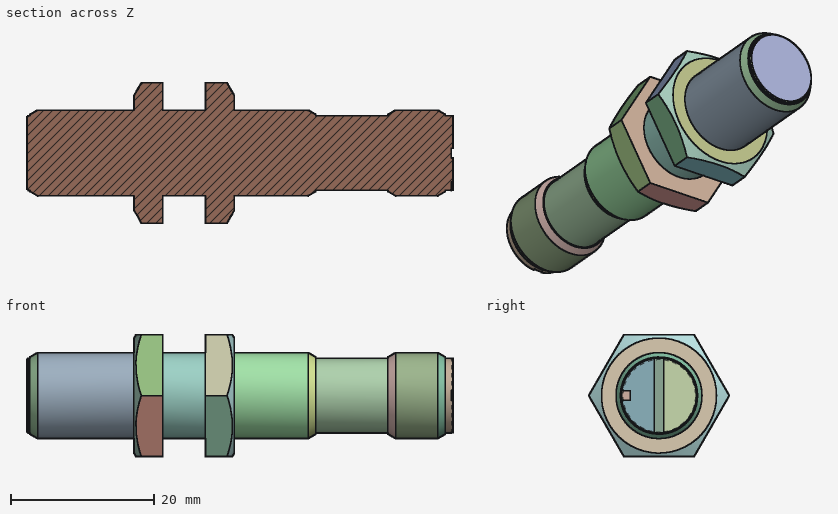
import cadquery as cq
import math

length = 59.5
body_radius = 6.0
neck_radius = 5.25
bevel_length = 1.1
bevel_angle = 30.0
bevel_drop = bevel_length * math.tan(math.radians(bevel_angle))

face_collar = 0.4
face_edge_chamfer = 0.2

neck_start = 40.35
collar_start = 50.4
tip_length = 1.1
collar_end = length - tip_length

notch_width = 1.3
notch_depth = 0.25
rim_notch_reach = 1.2

nut_across_flats = 17.0
nut_thickness = 4.05
nut_gap = 5.95
first_nut_start = 14.95
nut_face_radius = 8.05
nut_bevel_angle = 30.0


def disc(start, thickness, radius):
    return cq.Workplane("YZ", origin=(start, 0, 0)).circle(radius).extrude(thickness)


def bevelled_barrel(start, end, bevel_start):
    """Full-diameter barrel, bevelled at its far end and optionally at its near end."""
    barrel = disc(start, end - start, body_radius)
    barrel = barrel.faces(">X").chamfer(bevel_length, bevel_drop)
    if bevel_start:
        barrel = barrel.faces("<X").chamfer(bevel_length, bevel_drop)
    return barrel


def make_body():
    face = disc(0, face_collar, neck_radius).faces("<X").chamfer(face_edge_chamfer)
    main = bevelled_barrel(face_collar, neck_start, True)
    neck = disc(neck_start, collar_start - neck_start, neck_radius)
    collar = bevelled_barrel(collar_start, collar_end, True)
    tip = disc(collar_end, tip_length, neck_radius)
    return face.union(main).union(neck).union(collar).union(tip)


def make_nut(start, bevel_at_start):
    """Hexagon with flats facing +Z and -Z, trimmed by a cone on one side."""
    corner_radius = nut_across_flats / math.sqrt(3)
    bevel = (corner_radius - nut_face_radius) * math.tan(math.radians(nut_bevel_angle))
    nut = cq.Workplane("YZ", origin=(start, 0, 0)).polygon(6, 2 * corner_radius).extrude(nut_thickness)
    envelope = disc(start, nut_thickness, corner_radius)
    bevelled_side = "<X" if bevel_at_start else ">X"
    envelope = envelope.faces(bevelled_side).chamfer(bevel, corner_radius - nut_face_radius)
    return nut.intersect(envelope)


def cut_tip_notches(part):
    notch_x = length - notch_depth / 2
    cross_slot = cq.Workplane("XY").box(notch_depth, notch_width, 2 * neck_radius)
    rim_notch = cq.Workplane("XY").box(notch_depth, 2 * rim_notch_reach, notch_width)
    part = part.cut(cross_slot.translate((notch_x, 0, 0)))
    return part.cut(rim_notch.translate((notch_x, -neck_radius, 0)))


second_nut_start = first_nut_start + nut_thickness + nut_gap
result = make_body()
result = result.union(make_nut(first_nut_start, True))
result = result.union(make_nut(second_nut_start, False))
result = cut_tip_notches(result)